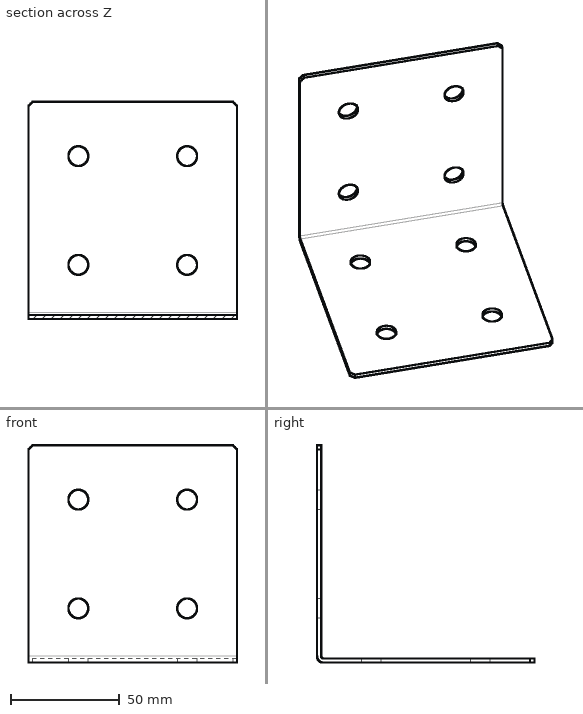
import cadquery as cq

width = 96.0
leg = 100.0
thickness = 2.0
bend_inner_radius = 1.0
bend_outer_radius = bend_inner_radius + thickness
corner_chamfer = 2.0

hole_diameter = 9.0
hole_spacing = 50.0
first_hole_height = 25.0


def make_angle():
    """L-shaped sheet with a rounded bend; its outer faces lie on Y = 0 and Z = 0."""
    outline = (
        cq.Workplane("YZ")
        .polyline([(0, 0), (leg, 0), (leg, thickness), (thickness, thickness), (thickness, leg), (0, leg)])
        .close()
        .extrude(width / 2, both=True)
    )
    inner_bend = cq.selectors.NearestToPointSelector((0, thickness, thickness))
    outer_bend = cq.selectors.NearestToPointSelector((0, 0, 0))
    angle = outline.edges(inner_bend).fillet(bend_inner_radius)
    return angle.edges(outer_bend).fillet(bend_outer_radius)


def chamfer_free_corners(body):
    """Cut the two free corners of each leg."""
    body = body.faces(">Z").edges("|Y").chamfer(corner_chamfer)
    return body.faces(">Y").edges("|Z").chamfer(corner_chamfer)


def make_hole_pins(plane, direction):
    """Four pins that pass through one leg, starting at its outer face."""
    positions = [
        (side * hole_spacing / 2, first_hole_height + row * hole_spacing)
        for side in (-1, 1)
        for row in (0, 1)
    ]
    return cq.Workplane(plane).pushPoints(positions).circle(hole_diameter / 2).extrude(direction * thickness)


bracket = chamfer_free_corners(make_angle())
bracket = bracket.cut(make_hole_pins("XZ", -1))
result = bracket.cut(make_hole_pins("XY", 1))